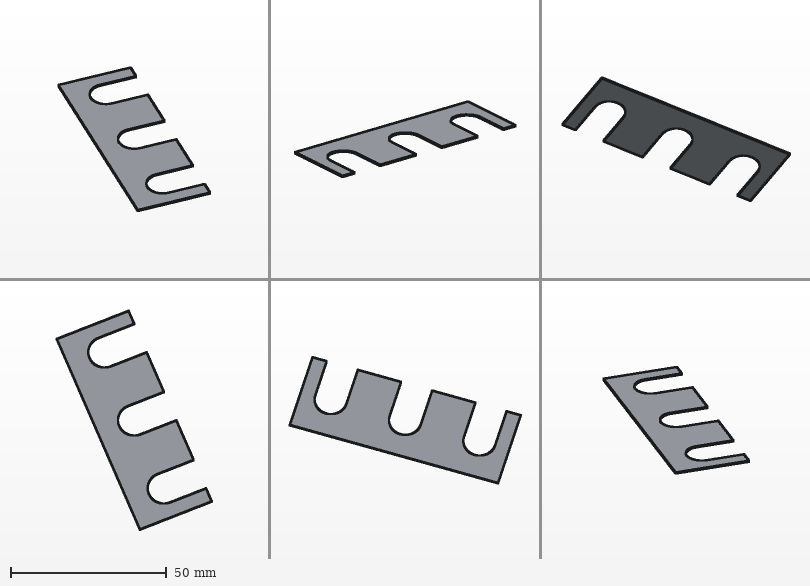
import cadquery as cq

length = 70.0
width = 25.0
thickness = 0.5

slot_width = 10.4
slot_pitch = width
slot_radius = slot_width / 2
slot_centers = (-slot_pitch, 0, slot_pitch)


def open_slot(center_x):
    """Cutter with its round end centred at mid-width, running out past the +Y edge."""
    end_y = width / 2 + slot_radius
    return (
        cq.Workplane("XY")
        .moveTo(center_x - slot_radius, end_y)
        .lineTo(center_x - slot_radius, 0)
        .threePointArc((center_x, -slot_radius), (center_x + slot_radius, 0))
        .lineTo(center_x + slot_radius, end_y)
        .close()
        .extrude(thickness)
    )


result = cq.Workplane("XY").box(length, width, thickness, centered=(True, True, False))
for slot_center in slot_centers:
    result = result.cut(open_slot(slot_center))